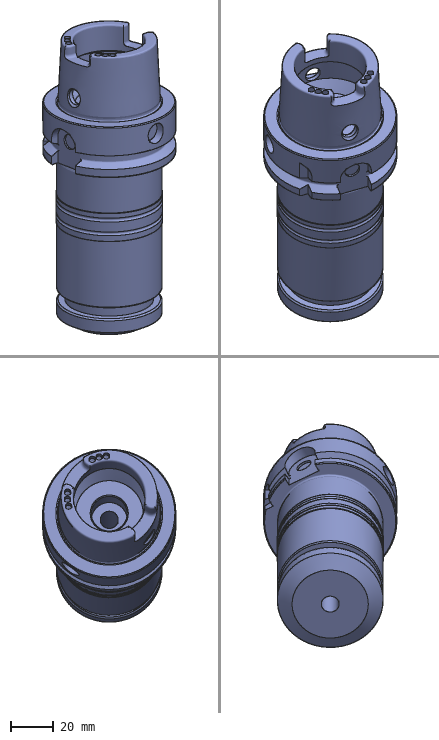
import cadquery as cq
import math


cut_margin = 1.0

shank_top_z = 32.0
taper_gauge_z = 6.3
taper_gauge_radius = 24.0
taper_slope = 0.05
shank_edge_fillet = 0.9
relief_top_z = 1.95
relief_cone_bottom_z = 1.0
relief_radius = 48.04 / 2
face_recess_radius = 50.5 / 2
face_recess_depth = 0.3
undercut_fillet = 0.6

flange_radius = 63.0 / 2
flange_bottom_z = -26.0
flange_edge_chamfer = 0.5
groove_radius = 54.6 / 2
groove_middle_z = -18.15
groove_floor_height = 3.3
groove_mouth_height = 7.0
groove_fillet = 0.6

body_radius = 50.0 / 2
body_collar_radius = 49.3 / 2
body_collar_bottom_z = -27.4
body_collar_cone_bottom_z = -28.5
body_bottom_z = -95.6
body_bottom_chamfer = 0.6
neck_radius = 42.0 / 2
nose_top_z = -101.2
nose_chamfer = 0.8
nose_cone_top_z = -108.0
nose_bottom_z = -112.0
nose_bottom_radius = 18.0

ring_radius = 50.5 / 2
ring_groove_radius = 49.3 / 2
ring_spans = [(-46.7, -49.5), (-51.0, -56.6), (-58.0, -61.4)]

mouth_radius = 34.0 / 2
mouth_bottom_z = 19.0
chamber_radius = 42.0 / 2
shoulder_angle = 60.0
cavity_floor_z = 0.0
cavity_floor_radius = 16.0
coolant_tube_radius = 16.92 / 2
coolant_tube_depth = 12.0
coolant_tube_chamfer = 0.54
through_hole_radius = 8.4 / 2

drive_slot_half_width = 6.25
drive_slot_floor_front_z = 26.3
drive_slot_floor_back_z = 22.0
drive_slot_inner_y = 10.0
drive_slot_outer_y = 30.0
drive_slot_round_radius = 3.3
drive_slot_round_y = 18.0
drive_slot_floor_fillet = 1.6

marker_radius = 3.0 / 2
marker_circle_radius = 19.8
marker_angles = [40.0, 50.0, 60.0]
marker_depth = 4.0
marker_tip_depth = 0.9

access_z = 9.0
access_radius = 7.5 / 2
access_sink_radius = 9.3 / 2

keyway_half_width = 8.0
keyway_floor_y = 26.35
keyway_arc_z = -13.0
keyway_hole_radius = 7.5 / 2
keyway_hole_depth = 1.0

carrier_z = -7.0
carrier_minus_x_radius = 9.0 / 2
carrier_plus_x_radius = 10.0 / 2
carrier_depth = 4.6

notch_wall = 20.0
notch_arc_radius = 7.0
notch_arc_z = -11.7


def taper_radius(z):
    return taper_gauge_radius - taper_slope * (z - taper_gauge_z)


def revolve(points):
    """Turn an (r, z) outline about the Z axis."""
    return cq.Workplane("XZ").polyline(points).close().revolve(360, (0, 0, 0), (0, 1, 0))


def mirror_y(shape):
    return shape.mirror("XZ")


def make_drive_slot(floor_z):
    """Slot on the -Y side; its mouth flares around two rounded corners and its floor is filleted."""
    half = drive_slot_half_width
    radius = drive_slot_round_radius
    corner_x = half + radius
    corner_y = -drive_slot_round_y
    arc_x = corner_x - radius * math.sqrt(0.5)
    arc_y = corner_y - radius * math.sqrt(0.5)
    flare_y = corner_y - radius
    slot = (
        cq.Workplane("XY", origin=(0, 0, floor_z))
        .moveTo(-half, -drive_slot_inner_y)
        .lineTo(-half, corner_y)
        .threePointArc((-arc_x, arc_y), (-corner_x, flare_y))
        .lineTo(-corner_x, -drive_slot_outer_y)
        .lineTo(corner_x, -drive_slot_outer_y)
        .lineTo(corner_x, flare_y)
        .threePointArc((arc_x, arc_y), (half, corner_y))
        .lineTo(half, -drive_slot_inner_y)
        .close()
        .extrude(shank_top_z - floor_z)
    )
    return slot.faces("<Z").edges().fillet(drive_slot_floor_fillet)


def make_shank():
    """Taper shank with its bore mouth and drive slots; one fillet runs around the whole end face."""
    shank = revolve([
        (0, -face_recess_depth),
        (relief_radius, -face_recess_depth),
        (relief_radius, relief_cone_bottom_z),
        (taper_radius(relief_top_z), relief_top_z),
        (taper_radius(shank_top_z), shank_top_z),
        (0, shank_top_z),
    ])
    mouth = cq.Workplane("XY", origin=(0, 0, mouth_bottom_z)).circle(mouth_radius)
    shank = shank.cut(mouth.extrude(shank_top_z - mouth_bottom_z))
    shank = shank.cut(make_drive_slot(drive_slot_floor_front_z))
    shank = shank.cut(mirror_y(make_drive_slot(drive_slot_floor_back_z)))
    return shank.faces(">Z").edges().fillet(shank_edge_fillet)


def make_gripper_groove():
    """Ring cutter with sloping sides; its inner corners are rounded."""
    half_mouth = groove_mouth_height / 2
    half_floor = groove_floor_height / 2
    ring = revolve([
        (groove_radius, groove_middle_z + half_floor),
        (flange_radius, groove_middle_z + half_mouth),
        (flange_radius + cut_margin, groove_middle_z + half_mouth),
        (flange_radius + cut_margin, groove_middle_z - half_mouth),
        (flange_radius, groove_middle_z - half_mouth),
        (groove_radius, groove_middle_z - half_floor),
    ])
    return ring.edges(cq.selectors.RadiusNthSelector(0)).fillet(groove_fillet)


def make_keyway():
    """Round-topped keyway on the -Y side, open at the flange bottom, with a blind hole in its floor."""
    depth = flange_radius - keyway_floor_y + cut_margin
    plane = cq.Workplane("XZ", origin=(0, -keyway_floor_y, 0))
    slot = (
        plane.moveTo(-keyway_half_width, flange_bottom_z)
        .lineTo(-keyway_half_width, keyway_arc_z)
        .threePointArc((0, keyway_arc_z + keyway_half_width), (keyway_half_width, keyway_arc_z))
        .lineTo(keyway_half_width, flange_bottom_z)
        .close()
        .extrude(depth)
    )
    hole = plane.center(0, keyway_arc_z).circle(keyway_hole_radius).extrude(-keyway_hole_depth)
    return slot.union(hole)


def make_carrier_hole(side, radius):
    start = cq.Workplane("YZ", origin=(side * flange_radius, 0, carrier_z))
    return start.circle(radius).extrude(-side * carrier_depth)


def make_notch():
    """Round-topped corner cut with walls parallel to XZ and YZ."""
    arc_x = -notch_wall - notch_arc_radius
    outer_x = arc_x - notch_arc_radius
    return (
        cq.Workplane("XZ", origin=(0, -notch_wall, 0))
        .moveTo(-notch_wall, flange_bottom_z)
        .lineTo(-notch_wall, notch_arc_z)
        .threePointArc((arc_x, notch_arc_z + notch_arc_radius), (outer_x, notch_arc_z))
        .lineTo(outer_x, flange_bottom_z)
        .close()
        .extrude(flange_radius - notch_wall + cut_margin)
    )


def make_flange():
    rim = flange_radius - flange_edge_chamfer
    disc = revolve([
        (0, -face_recess_depth),
        (relief_radius + undercut_fillet, -face_recess_depth),
        (face_recess_radius, 0),
        (rim, 0),
        (flange_radius, -flange_edge_chamfer),
        (flange_radius, flange_bottom_z + flange_edge_chamfer),
        (rim, flange_bottom_z),
        (0, flange_bottom_z),
    ])
    disc = disc.cut(make_gripper_groove())
    disc = disc.cut(make_keyway())
    disc = disc.cut(make_keyway().rotate((0, 0, 0), (0, 0, 1), 180))
    disc = disc.cut(make_carrier_hole(-1, carrier_minus_x_radius))
    disc = disc.cut(make_carrier_hole(1, carrier_plus_x_radius))
    return disc.cut(make_notch())


def make_corner_fillet(radius, corner_z, direction):
    """Concave fillet ring around a cylinder, rising (1) or falling (-1) from a flat face."""
    center_r = radius + undercut_fillet
    center_z = corner_z + direction * undercut_fillet
    middle = undercut_fillet * math.sqrt(0.5)
    return (
        cq.Workplane("XZ")
        .moveTo(neck_radius, corner_z)
        .lineTo(center_r, corner_z)
        .threePointArc((center_r - middle, center_z - direction * middle), (radius, center_z))
        .lineTo(neck_radius, center_z)
        .close()
        .revolve(360, (0, 0, 0), (0, 1, 0))
    )


def make_body():
    return revolve([
        (0, flange_bottom_z),
        (body_collar_radius, flange_bottom_z),
        (body_collar_radius, body_collar_bottom_z),
        (body_radius, body_collar_cone_bottom_z),
        (body_radius, body_bottom_z + body_bottom_chamfer),
        (body_radius - body_bottom_chamfer, body_bottom_z),
        (neck_radius, body_bottom_z),
        (neck_radius, nose_top_z),
        (body_radius - nose_chamfer, nose_top_z),
        (body_radius, nose_top_z - nose_chamfer),
        (body_radius, nose_cone_top_z),
        (nose_bottom_radius, nose_bottom_z),
        (0, nose_bottom_z),
    ])


def make_ring(top, bottom):
    chamfer = ring_radius - body_radius
    return revolve([
        (neck_radius, top),
        (body_radius, top),
        (ring_radius, top - chamfer),
        (ring_radius, bottom + chamfer),
        (body_radius, bottom),
        (neck_radius, bottom),
    ])


def make_ring_groove(top, bottom):
    """Shallow groove with an arc section, between two neighbouring rings."""
    return (
        cq.Workplane("XZ")
        .moveTo(body_radius, top)
        .threePointArc((ring_groove_radius, (top + bottom) / 2), (body_radius, bottom))
        .close()
        .revolve(360, (0, 0, 0), (0, 1, 0))
    )


def add_rings(part):
    for top, bottom in ring_spans:
        part = part.union(make_ring(top, bottom))
    for upper, lower in zip(ring_spans, ring_spans[1:]):
        part = part.cut(make_ring_groove(upper[1], lower[0]))
    return part


def make_cavity():
    shoulder_height = (chamber_radius - mouth_radius) / math.tan(math.radians(shoulder_angle))
    floor_cone_height = chamber_radius - cavity_floor_radius
    coolant_tube_bottom_z = cavity_floor_z - coolant_tube_depth
    return revolve([
        (0, mouth_bottom_z),
        (mouth_radius, mouth_bottom_z),
        (chamber_radius, mouth_bottom_z - shoulder_height),
        (chamber_radius, cavity_floor_z + floor_cone_height),
        (cavity_floor_radius, cavity_floor_z),
        (coolant_tube_radius + coolant_tube_chamfer, cavity_floor_z),
        (coolant_tube_radius, cavity_floor_z - coolant_tube_chamfer),
        (coolant_tube_radius, coolant_tube_bottom_z),
        (through_hole_radius, coolant_tube_bottom_z),
        (through_hole_radius, nose_bottom_z),
        (0, nose_bottom_z),
    ])


def make_marker_holes():
    holes = cq.Workplane()
    profile = [
        (0, shank_top_z),
        (marker_radius, shank_top_z),
        (marker_radius, shank_top_z - marker_depth),
        (0, shank_top_z - marker_depth - marker_tip_depth),
    ]
    for angle in marker_angles:
        x = marker_circle_radius * math.cos(math.radians(angle))
        y = -marker_circle_radius * math.sin(math.radians(angle))
        for side in (-1, 1):
            holes = holes.add(revolve(profile).translate((side * x, y, 0)))
    return holes.combine()


def make_access_hole():
    """Radial hole through the -Y shank wall with a 45 degree countersink."""
    surface = taper_radius(access_z)
    sink_end = surface + cut_margin
    sink_radius = access_sink_radius + cut_margin
    profile = [
        (0, chamber_radius / 2),
        (access_radius, chamber_radius / 2),
        (access_radius, sink_end - (sink_radius - access_radius)),
        (sink_radius, sink_end),
        (0, sink_end),
    ]
    return revolve(profile).rotate((0, 0, 0), (1, 0, 0), 90).translate((0, 0, access_z))


result = make_shank().union(make_flange()).union(make_body())
result = result.union(make_corner_fillet(relief_radius, -face_recess_depth, 1))
result = result.union(make_corner_fillet(body_collar_radius, flange_bottom_z, -1))
result = add_rings(result)
result = result.cut(make_cavity())
result = result.cut(make_marker_holes())
result = result.cut(make_access_hole())
result = result.cut(mirror_y(make_access_hole()))